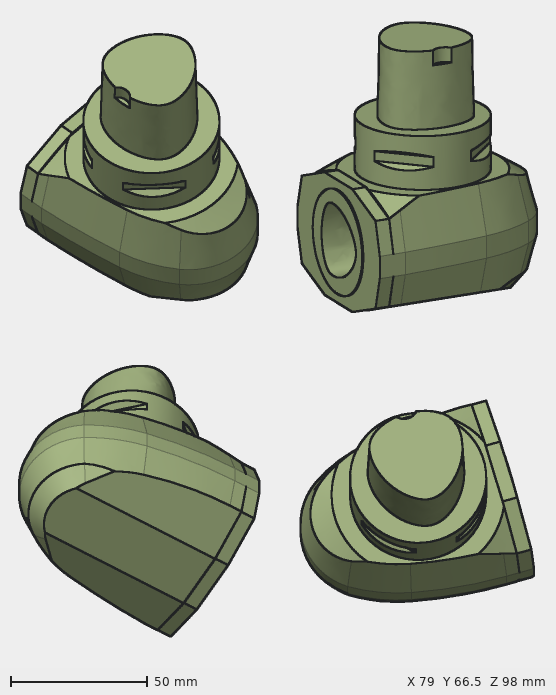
import cadquery as cq
import math

total_height = 98.0
body_height = 47.2
collar_top = 68.0
collar_diameter = 50.0
bore_axis_z = 24.0

body_width = 66.5
body_half_width = body_width / 2
band_half_height = 4.3
draft_angle = 15.0
mount_face_x = -34.6
plate_thickness = 5.6
body_start_x = mount_face_x + plate_thickness
straight_end_x = -24.1
nose_shoulder = (11.2, 29.6)
nose_cheek = (32.9, 20.9)
nose_tip_x = 43.9

top_land_radius = 31.8
top_cone_run = 8.9
top_cone_drop = 5.6

nose_chamfer_run = 5.8
nose_chamfer_rise = 7.1
nose_land_tip_x = 34.8

plate_half_height = 23.7
plate_flat_half_width = 11.2
plate_corner_half_width = 29.8
plate_corner_half_height = 17.0
disc_diameter = 40.0
disc_height = 0.5

lobe_height = 1.1
outline_points = 36
shank_base_radius = 17.7
shank_tip_radius = 17.1
bore_mouth_radius = 13.9
bore_floor_radius = 13.5
bore_depth = 30.4
pin_diameter = 2.5
pin_depth = 24.5
pin_inner_y = 11.3
pin_length = 3.9

notch_radius = 4.8
notch_height = 5.7
notch_center_y = -18.7

slot_count = 4
slot_first_angle = 45.0
slot_floor_distance = 22.2
slot_floor_height = 3.7
slot_wall_angle = 30.0
slot_center_z = 57.9

overrun = 58.8


def lobed_outline(workplane, mean_radius):
    """Constant-width three-lobed outline with one lobe on local +Y."""

    def point(index):
        angle = 2 * math.pi * index / outline_points
        reach = mean_radius - lobe_height * math.sin(3 * angle)
        slope = -3 * lobe_height * math.cos(3 * angle)
        x = reach * math.cos(angle) - slope * math.sin(angle)
        y = reach * math.sin(angle) + slope * math.cos(angle)
        return (x, y)

    return workplane.spline([point(index) for index in range(outline_points)], periodic=True).wire()


def lobed_taper(plane, start_radius, end_radius, length):
    start = lobed_outline(cq.Workplane(plane), start_radius)
    return lobed_outline(start.workplane(offset=length), end_radius).loft(ruled=True, combine=True)


def body_plan(z):
    """Bullet-shaped plan of the body, left long behind the mounting face for trimming."""
    shoulder_x, shoulder_y = nose_shoulder
    cheek_x, cheek_y = nose_cheek
    return (
        cq.Workplane("XY", origin=(0, 0, z))
        .moveTo(mount_face_x - overrun, body_half_width)
        .lineTo(straight_end_x, body_half_width)
        .tangentArcPoint((shoulder_x, shoulder_y), relative=False)
        .tangentArcPoint((cheek_x, cheek_y), relative=False)
        .threePointArc((nose_tip_x, 0), (cheek_x, -cheek_y))
        .tangentArcPoint((shoulder_x, -shoulder_y), relative=False)
        .tangentArcPoint((straight_end_x, -body_half_width), relative=False)
        .lineTo(mount_face_x - overrun, -body_half_width)
        .close()
    )


def top_cone():
    """Cone whose land circle is at the top of the body, widening down to the underside."""
    scale = body_height / top_cone_drop
    far_radius = top_land_radius + top_cone_run * scale
    return (
        cq.Workplane("XZ")
        .polyline([(0, body_height), (top_land_radius, body_height), (far_radius, 0), (0, 0)])
        .close()
        .revolve(360, (0, 0, 0), (0, 1, 0))
    )


def nose_envelope():
    """Cone coaxial with the tip arc, carried on rearward by the planes tangent to its ends."""
    cheek_x, cheek_y = nose_cheek
    tip_run = nose_tip_x - cheek_x
    tip_radius = (tip_run**2 + cheek_y**2) / (2 * tip_run)
    center_x = nose_tip_x - tip_radius
    normal_x = (cheek_x - center_x) / tip_radius
    normal_y = cheek_y / tip_radius

    land_radius = nose_land_tip_x - center_x
    start_x = center_x + land_radius * normal_x
    start_y = land_radius * normal_y
    back_x = start_x - 2 * overrun * normal_y
    back_y = start_y + 2 * overrun * normal_x
    slope_angle = math.degrees(math.atan(nose_chamfer_run / nose_chamfer_rise))
    return (
        cq.Workplane("XY")
        .moveTo(back_x, back_y)
        .lineTo(start_x, start_y)
        .threePointArc((nose_land_tip_x, 0), (start_x, -start_y))
        .lineTo(back_x, -back_y)
        .close()
        .extrude(body_height, taper=-slope_angle)
    )


def make_body():
    band_bottom = bore_axis_z - band_half_height
    band_top = bore_axis_z + band_half_height
    band = body_plan(band_bottom).extrude(2 * band_half_height)
    upper = body_plan(band_top).extrude(body_height - band_top, taper=draft_angle)
    lower = body_plan(band_bottom).extrude(-band_bottom, taper=draft_angle)
    body = band.union(upper).union(lower)

    corner_z = bore_axis_z - plate_corner_half_height
    flat_slope = corner_z / (plate_corner_half_width - plate_flat_half_width)
    flat_end_z = flat_slope * (overrun - plate_flat_half_width)
    section = [
        (-plate_flat_half_width, 0),
        (plate_flat_half_width, 0),
        (overrun, flat_end_z),
        (overrun, body_height),
        (-overrun, body_height),
        (-overrun, flat_end_z),
    ]
    envelope = (
        cq.Workplane("YZ", origin=(body_start_x, 0, 0)).polyline(section).close().extrude(2 * overrun)
    )
    body = body.intersect(envelope)
    return body.intersect(top_cone()).intersect(nose_envelope())


def make_plate():
    quarter = [
        (plate_flat_half_width, plate_half_height),
        (plate_corner_half_width, plate_corner_half_height),
        (body_half_width, band_half_height),
    ]
    right_side = quarter + [(y, -z) for y, z in reversed(quarter)]
    outline = right_side + [(-y, z) for y, z in reversed(right_side)]
    face = cq.Workplane("YZ", origin=(mount_face_x, 0, bore_axis_z))
    plate = face.polyline(outline).close().extrude(plate_thickness)
    disc = face.circle(disc_diameter / 2).extrude(-disc_height)
    return plate.union(disc)


def make_bore():
    """Bore with a lobe toward -Y, less the locating pin left standing in it."""
    mouth_x = mount_face_x - disc_height
    plane = cq.Plane(origin=(mouth_x, 0, bore_axis_z), xDir=(0, 0, 1), normal=(1, 0, 0))
    bore = lobed_taper(plane, bore_mouth_radius, bore_floor_radius, bore_depth)
    pin = (
        cq.Workplane("XZ", origin=(mouth_x + pin_depth, pin_inner_y, bore_axis_z))
        .circle(pin_diameter / 2)
        .extrude(-pin_length)
    )
    return bore.cut(pin)


def make_collar():
    collar = (
        cq.Workplane("XY", origin=(0, 0, body_height))
        .circle(collar_diameter / 2)
        .extrude(collar_top - body_height)
    )
    slot_depth = collar_diameter / 2 - slot_floor_distance
    floor_half = slot_floor_height / 2
    mouth_half = floor_half + slot_depth * math.tan(math.radians(slot_wall_angle))
    slot = (
        cq.Workplane("XZ", origin=(slot_floor_distance, 0, slot_center_z))
        .polyline([(0, -floor_half), (slot_depth, -mouth_half), (slot_depth, mouth_half), (0, floor_half)])
        .close()
        .extrude(collar_diameter / 2, both=True)
    )
    for index in range(slot_count):
        angle = slot_first_angle + index * 360 / slot_count
        collar = collar.cut(slot.rotate((0, 0, 0), (0, 0, 1), angle))
    return collar


def make_shank():
    base = cq.Plane(origin=(0, 0, collar_top), xDir=(1, 0, 0), normal=(0, 0, 1))
    shank = lobed_taper(base, shank_base_radius, shank_tip_radius, total_height - collar_top)
    notch = (
        cq.Workplane("XY", origin=(0, notch_center_y, total_height))
        .circle(notch_radius)
        .extrude(-notch_height)
    )
    return shank.cut(notch)


result = make_body().union(make_plate()).union(make_collar()).union(make_shank()).cut(make_bore())